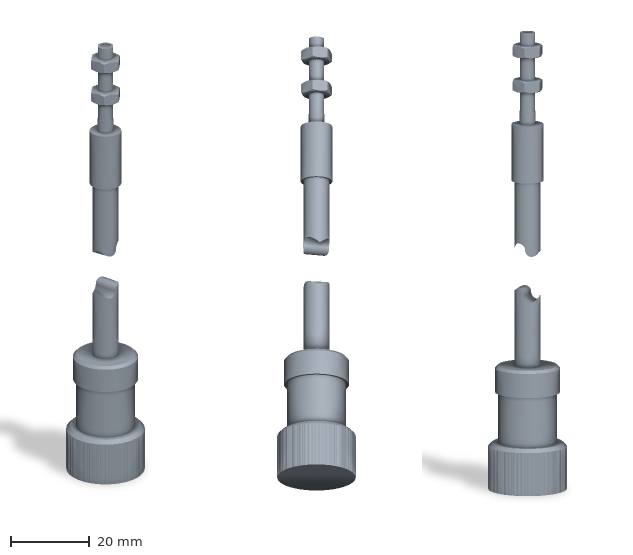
import cadquery as cq
import math

TOTAL_HEIGHT = 118.1

KNOB_DIAMETER = 20.0
KNOB_HEIGHT = 12.0
KNOB_CHAMFER = 1.0
BARREL_DIAMETER = 15.0
FLANGE_DIAMETER = 16.5
FLANGE_BOTTOM = 25.0
FLANGE_TOP = 32.0
FLANGE_CHAMFER = 0.7

GROOVE_COUNT = 180
GROOVE_DIAMETER = 0.7

ROD_DIAMETER = 6.6
WAVE_RADIUS = ROD_DIAMETER / 4
LOWER_BREAK = 50.4
UPPER_BREAK = 62.2
LOWER_BREAK_TURN = -6

COLLAR_DIAMETER = 8.0
COLLAR_BOTTOM = 79.7
COLLAR_TOP = 94.5
SHANK_DIAMETER = 4.0
STUD_DIAMETER = 3.9
STUD_BOTTOM = 97.8
RECESS_DIAMETER = 2.6
RECESS_DEPTH = 0.2

NUT_ACROSS_FLATS = 7.0
NUT_ACROSS_CORNERS = NUT_ACROSS_FLATS / math.cos(math.radians(30))
NUT_HEIGHT = 3.0
NUT_BOTTOMS = (111.9, 103.0)
NUT_CHAMFER_HEIGHT = 0.4
NUT_CHAMFER_WIDTH = 0.6


def cylinder(diameter, bottom, top):
    """Upright cylinder on the Z axis."""
    return cq.Workplane("XY").workplane(offset=bottom).circle(diameter / 2).extrude(top - bottom)


def below_break(break_height, bottom):
    """Block that fills the space from bottom up to an S-curve: a trough at -Y, a crest at +Y."""
    reach = 2 * WAVE_RADIUS
    trough = (-WAVE_RADIUS, break_height - WAVE_RADIUS)
    crest = (WAVE_RADIUS, break_height + WAVE_RADIUS)
    return (
        cq.Workplane("YZ")
        .moveTo(-reach, bottom)
        .lineTo(-reach, break_height)
        .threePointArc(trough, (0, break_height))
        .threePointArc(crest, (reach, break_height))
        .lineTo(reach, bottom)
        .close()
        .extrude(ROD_DIAMETER, both=True)
    )


def ring_point(radius, angle):
    return (radius * math.cos(angle), radius * math.sin(angle))


def make_grooved_prism():
    """Knob without its chamfer: grooves side by side, meeting in sharp ridges."""
    pitch_angle = 2 * math.pi / GROOVE_COUNT
    ridge_radius = KNOB_DIAMETER / 2
    groove_radius = GROOVE_DIAMETER / 2
    half_width = ridge_radius * math.sin(pitch_angle / 2)
    groove_depth = groove_radius - math.sqrt(groove_radius**2 - half_width**2)
    floor_radius = ridge_radius * math.cos(pitch_angle / 2) - groove_depth

    outline = cq.Workplane("XY").moveTo(ridge_radius, 0)
    for groove in range(GROOVE_COUNT):
        floor = ring_point(floor_radius, (groove + 0.5) * pitch_angle)
        next_ridge = ring_point(ridge_radius, (groove + 1) * pitch_angle)
        outline = outline.threePointArc(floor, next_ridge)
    return outline.close().extrude(KNOB_HEIGHT)


def make_knob():
    top_radius = KNOB_DIAMETER / 2 - KNOB_CHAMFER
    chamfer_cone = cq.Solid.makeCone(top_radius + KNOB_HEIGHT, top_radius, KNOB_HEIGHT)
    return make_grooved_prism().intersect(cq.Workplane(chamfer_cone))


def make_base():
    knob = make_knob()
    barrel = cylinder(BARREL_DIAMETER, KNOB_HEIGHT, FLANGE_BOTTOM)
    flange = cylinder(FLANGE_DIAMETER, FLANGE_BOTTOM, FLANGE_TOP).faces(">Z").chamfer(FLANGE_CHAMFER)
    kept = below_break(LOWER_BREAK, FLANGE_TOP).rotate((0, 0, 0), (0, 0, 1), LOWER_BREAK_TURN)
    rod = cylinder(ROD_DIAMETER, FLANGE_TOP, LOWER_BREAK + WAVE_RADIUS).intersect(kept)
    return knob.union(barrel).union(flange).union(rod)


def make_tip():
    rod_bottom = UPPER_BREAK - WAVE_RADIUS
    removed = below_break(UPPER_BREAK, rod_bottom - WAVE_RADIUS)
    rod = cylinder(ROD_DIAMETER, rod_bottom, COLLAR_BOTTOM).cut(removed)
    collar = cylinder(COLLAR_DIAMETER, COLLAR_BOTTOM, COLLAR_TOP)
    shank = cylinder(SHANK_DIAMETER, COLLAR_TOP, STUD_BOTTOM)
    stud = cylinder(STUD_DIAMETER, STUD_BOTTOM, TOTAL_HEIGHT)
    recess = cylinder(RECESS_DIAMETER, TOTAL_HEIGHT - RECESS_DEPTH, TOTAL_HEIGHT)
    return rod.union(collar).union(shank).union(stud).cut(recess)


def make_nut(bottom):
    """Hexagon nut with corners along X, chamfered at both ends."""
    top = bottom + NUT_HEIGHT
    hexagon = (
        cq.Workplane("XY").workplane(offset=bottom).polygon(6, NUT_ACROSS_CORNERS).extrude(NUT_HEIGHT)
    )
    rounded_blank = (
        cylinder(NUT_ACROSS_CORNERS, bottom, top)
        .faces("<Z or >Z")
        .edges()
        .chamfer(NUT_CHAMFER_HEIGHT, NUT_CHAMFER_WIDTH)
    )
    return hexagon.intersect(rounded_blank).cut(cylinder(STUD_DIAMETER, bottom, top))


base = make_base()
tip = make_tip()
nuts = [make_nut(bottom) for bottom in NUT_BOTTOMS]

result = cq.Compound.makeCompound([body.solids().val() for body in (base, tip, *nuts)])